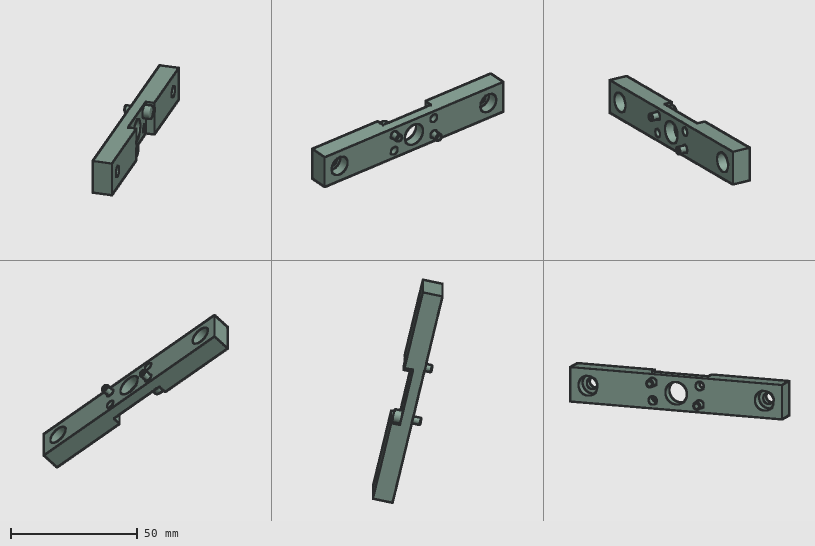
import cadquery as cq

bar_length = 90.0
bar_height = 14.0
bar_thickness = 8.0

pocket_length = 24.0
web_thickness = 4.5
pocket_depth = bar_thickness - web_thickness

center_hole_diameter = 9.1
clearance_diameter = 3.4
mount_hole_diameter = 4.5
mount_counterbore_diameter = 8.0
mount_counterbore_depth = 4.6
mount_spacing = 75.0

screw_spacing_y = 20.0
screw_spacing_z = 7.5
shank_diameter = 3.0
tip_projection = 3.5
tip_chamfer = 0.4
head_diameter = 5.5
head_height = 3.0
head_edge_fillet = 0.3

screw_positions = [
    (side * screw_spacing_y / 2, side * screw_spacing_z / 2) for side in (-1, 1)
]


def cylinder_along_x(diameter, start_x, length):
    """Cylinder on the X axis running in +X from start_x."""
    return cq.Workplane("YZ").workplane(offset=start_x).circle(diameter / 2).extrude(length)


def make_bar():
    bar = cq.Workplane("XY").box(
        bar_thickness, bar_length, bar_height, centered=(False, True, True)
    )
    pocket = (
        cq.Workplane("XY")
        .box(pocket_depth, pocket_length, bar_height, centered=(False, True, True))
        .translate((web_thickness, 0, 0))
    )
    bar = bar.cut(pocket)

    bar = bar.cut(cylinder_along_x(center_hole_diameter, 0, bar_thickness))

    clearance_hole = cylinder_along_x(clearance_diameter, 0, web_thickness)
    for side_y in (-1, 1):
        for side_z in (-1, 1):
            bar = bar.cut(
                clearance_hole.translate((0, side_y * screw_spacing_y / 2, side_z * screw_spacing_z / 2))
            )

    head_relief = cylinder_along_x(head_diameter, web_thickness, pocket_depth)
    for y, z in screw_positions:
        bar = bar.cut(head_relief.translate((0, y, z)))

    mount_hole = cylinder_along_x(mount_hole_diameter, 0, bar_thickness).union(
        cylinder_along_x(mount_counterbore_diameter, 0, mount_counterbore_depth)
    )
    for side in (-1, 1):
        bar = bar.cut(mount_hole.translate((0, side * mount_spacing / 2, 0)))
    return bar


def make_screw():
    """Cap screw on the X axis with its head on the right."""
    shank = (
        cylinder_along_x(shank_diameter, -tip_projection, tip_projection + web_thickness)
        .faces("<X")
        .chamfer(tip_chamfer)
    )
    head = (
        cylinder_along_x(head_diameter, web_thickness, head_height)
        .faces(">X")
        .edges()
        .fillet(head_edge_fillet)
    )
    return shank.union(head)


bar = make_bar()
screws = [make_screw().translate((0, y, z)) for y, z in screw_positions]

result = cq.Compound.makeCompound([bar.val(), *[screw.val() for screw in screws]])